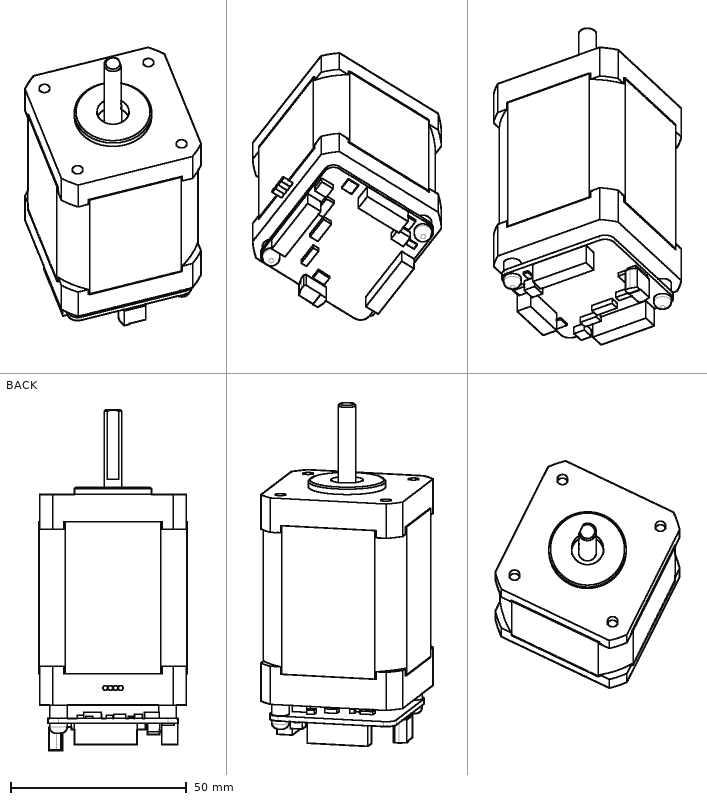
import cadquery as cq


motor_height = 59.9
cap_width = 41.7
cap_corner_radius = 27.0
front_cap_height = 10.0
rear_cap_height = 11.1
stator_width = 42.2
stator_corner_radius = 25.1
stator_bottom = 8.9
stator_top = 52.1

pilot_diameter = 22.0
pilot_height = 2.0
pilot_chamfer = 0.5
recess_diameter = 9.1
recess_depth = 4.0

shaft_diameter = 5.0
shaft_length = 24.1
shaft_chamfer = 0.5
flat_depth = 0.6
flat_start = 4.3

hole_spacing = 31.0
hole_diameter = 3.0
hole_depth = 4.5

wire_count = 4
wire_diameter = 1.4
wire_pitch = 1.5
wire_height = 4.85
overall_depth = 45.1
wire_reach = overall_depth - stator_width / 2

board_width = 37.1
board_thickness = 1.5
board_gap = 3.8
board_top = -board_gap
board_bottom = board_top - board_thickness
board_edge = board_width / 2
post_offset = hole_spacing / 2
board_corner_radius = board_edge - post_offset

post_diameter = 5.0
post_length = 8.05
post_round = 1.8

connector_drop = 6.0
connector_inset = 0.1
connector_edge = board_edge - connector_inset
connectors = [
    (-connector_edge, -13.9, -8.3, 5.7),
    (-6.9, 11.0, -connector_edge, -14.2),
    (-6.9, 11.0, 13.9, connector_edge),
]

usb_x_min = 14.4
usb_x_max = 18.2
usb_y_min = -3.2
usb_y_max = 4.7
usb_taper_start = 16.1
usb_lip_end = -0.9
usb_drop = 7.5
usb_lip = 0.3
usb_corner = 0.5
usb_taper = 0.7
usb_base_height = 1.1
usb_base_inset = 0.5

top_chips = [
    (-13.1, -8.9, -11.3, -7.2, 1.7),
    (3.3, 8.3, -7.1, -3.4, 1.7),
    (3.3, 8.3, -2.8, 1.0, 1.7),
    (-8.3, -6.1, -13.6, -11.4, 1.2),
    (-3.7, -0.2, -10.7, -7.8, 1.2),
    (3.2, 4.6, -9.2, -7.8, 1.2),
    (0.0, 1.9, 4.4, 5.5, 0.9),
    (6.3, 10.2, -9.7, -7.4, 0.9),
    (-5.9, -4.4, 8.3, 11.5, 0.6),
    (5.8, 7.8, 2.0, 4.1, 0.6),
]
bottom_chips = [
    (-13.3, -9.8, -12.7, -8.4, 3.2),
    (-13.3, -9.8, 14.1, 17.9, 2.3),
    (-9.3, -3.9, 11.0, 13.6, 1.7),
    (-3.4, 3.4, 7.8, 10.5, 1.7),
    (5.8, 11.8, 5.8, 7.7, 1.7),
    (-17.5, -14.1, -11.6, -8.6, 1.1),
    (11.4, 14.2, -1.9, 1.9, 1.1),
    (-11.35, -9.7, -16.5, -13.6, 0.6),
    (-17.5, -14.1, 8.1, 11.6, 0.6),
]


def box(x_min, x_max, y_min, y_max, z_min, z_max):
    """Block given by its limits along each axis."""
    size = (x_max - x_min, y_max - y_min, z_max - z_min)
    return cq.Workplane("XY").box(*size, centered=False).translate((x_min, y_min, z_min))


def turned_square(width, corner_radius, z_min, z_max):
    """Square prism whose corners are turned down to one circle about the motor axis."""
    half = width / 2
    square = box(-half, half, -half, half, z_min, z_max)
    cylinder = cq.Workplane("XY").workplane(offset=z_min).circle(corner_radius).extrude(z_max - z_min)
    return square.intersect(cylinder)


def make_shaft():
    """D-shaped output shaft with a chamfered tip and its flat on the +Y side."""
    base = motor_height + pilot_height - recess_depth
    tip = motor_height + shaft_length
    radius = shaft_diameter / 2
    shaft = cq.Workplane("XY").workplane(offset=base).circle(radius).extrude(tip - base)
    shaft = shaft.faces(">Z").chamfer(shaft_chamfer)
    flat = box(-radius, radius, radius - flat_depth, radius, motor_height + flat_start, tip)
    return shaft.cut(flat)


def make_wires():
    """Row of motor wires leaving the back of the rear cap."""
    start = cap_width / 2 - wire_diameter
    wires = []
    for i in range(wire_count):
        x = (i - (wire_count - 1) / 2) * wire_pitch
        wire = cq.Workplane("XZ", origin=(x, start, wire_height)).circle(wire_diameter / 2)
        wires.append(wire.extrude(start - wire_reach))
    return wires


def make_motor():
    motor = turned_square(stator_width, stator_corner_radius, stator_bottom, stator_top)
    rear_cap = turned_square(cap_width, cap_corner_radius, 0, rear_cap_height)
    front_cap = turned_square(cap_width, cap_corner_radius, motor_height - front_cap_height, motor_height)
    motor = motor.union(rear_cap).union(front_cap)

    face = cq.Workplane("XY").workplane(offset=motor_height)
    pilot = face.circle(pilot_diameter / 2).extrude(pilot_height).faces(">Z").chamfer(pilot_chamfer)
    recess = face.workplane(offset=pilot_height).circle(recess_diameter / 2).extrude(-recess_depth)
    motor = motor.union(pilot).cut(recess).union(make_shaft())

    holes = face.rect(hole_spacing, hole_spacing, forConstruction=True).vertices()
    motor = motor.cut(holes.circle(hole_diameter / 2).extrude(-hole_depth))

    for wire in make_wires():
        motor = motor.union(wire)
    return motor


def make_posts():
    """Two round-ended posts on one diagonal, from the motor's bottom face through the board."""
    points = [(-post_offset, -post_offset), (post_offset, post_offset)]
    posts = cq.Workplane("XY").pushPoints(points).circle(post_diameter / 2).extrude(-post_length)
    return posts.faces("<Z").edges().fillet(post_round)


def make_usb_socket():
    """Upright socket near the +X edge, tapered toward +X, with a slightly longer lip at its -Y end."""
    x_min, x_max, y_min, y_max = usb_x_min, usb_x_max, usb_y_min, usb_y_max
    opening = board_bottom - usb_drop
    shell_bottom = opening - usb_lip
    shell_top = board_bottom - usb_base_height

    outline = [
        (x_min, y_min + usb_corner),
        (x_min + usb_corner, y_min),
        (usb_taper_start, y_min),
        (x_max, y_min + usb_taper),
        (x_max, y_max - usb_taper),
        (usb_taper_start, y_max),
        (x_min + usb_corner, y_max),
        (x_min, y_max - usb_corner),
    ]
    shell = cq.Workplane("XY").workplane(offset=shell_bottom).polyline(outline).close()
    shell = shell.extrude(shell_top - shell_bottom)
    shell = shell.cut(box(x_min, x_max, usb_lip_end, y_max, shell_bottom, opening))

    base = box(
        x_min + usb_base_inset, x_max - usb_base_inset,
        y_min + usb_taper, y_max - usb_taper,
        shell_top, board_bottom,
    )
    return shell.union(base)


def make_board():
    board = box(-board_edge, board_edge, -board_edge, board_edge, board_bottom, board_top)
    board = board.edges("|Z").fillet(board_corner_radius)
    board = board.union(make_posts()).union(make_usb_socket())
    for limits in connectors:
        board = board.union(box(*limits, board_bottom - connector_drop, board_bottom))
    for *limits, height in top_chips:
        board = board.union(box(*limits, board_top, board_top + height))
    for *limits, height in bottom_chips:
        board = board.union(box(*limits, board_bottom - height, board_bottom))
    return board


motor = make_motor()
board = make_board()
result = cq.Compound.makeCompound([motor.val(), board.val()])